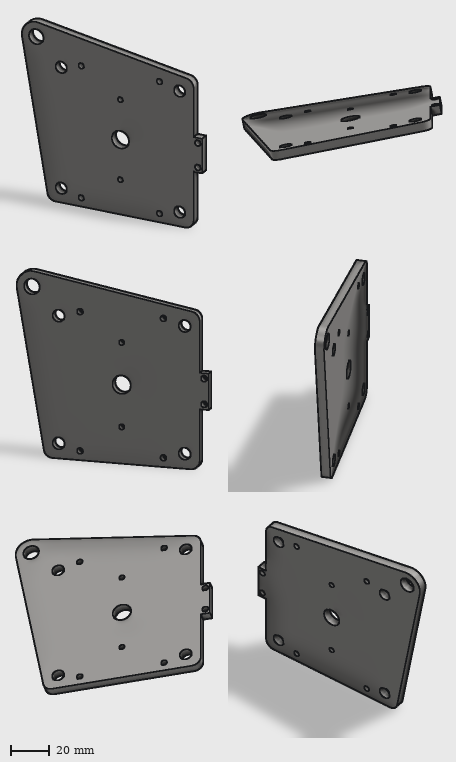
import cadquery as cq
import math

thickness = 5.0
edge = 43.0
corner_radius = 5.0
lobe_radius = 8.5
lobe_reach = 58.0

tab_end = 48.0
tab_width = 19.9
tab_hole_x = 45.5
tab_hole_z = 7.0
tab_hole_diameter = 3.3

centre_hole_diameter = 10.0
lobe_hole_diameter = 8.5
mount_hole_diameter = 6.5
mount_hole_offset = 34.8
edge_hole_diameter = 3.2
edge_hole_x = 23.0
edge_hole_z = 38.0
inner_hole_diameter = 2.9
inner_hole_z = 23.0

corner = edge - corner_radius
lobe = lobe_reach - lobe_radius


def on_circle(centre, radius, angle):
    """Point on a circle at an angle in radians."""
    return (centre[0] + radius * math.cos(angle), centre[1] + radius * math.sin(angle))


def make_plate():
    """Plate symmetric about its upper-left diagonal, with arcs tangent to straight sides."""
    lobe_centre = (-lobe, lobe)
    upper_right = (corner, corner)
    lower_right = (corner, -corner)
    lower_left = (-corner, -corner)

    run = corner + lobe
    drop = lobe - corner
    distance = math.hypot(run, drop)
    top_normal = (
        math.pi / 2
        - math.atan2(drop, run)
        - math.asin((lobe_radius - corner_radius) / distance)
    )
    left_normal = 1.5 * math.pi - top_normal
    diagonal = 0.75 * math.pi

    return (
        cq.Workplane("XZ")
        .moveTo(*on_circle(lobe_centre, lobe_radius, left_normal))
        .threePointArc(
            on_circle(lobe_centre, lobe_radius, diagonal),
            on_circle(lobe_centre, lobe_radius, top_normal),
        )
        .lineTo(*on_circle(upper_right, corner_radius, top_normal))
        .threePointArc(on_circle(upper_right, corner_radius, top_normal / 2), (edge, corner))
        .lineTo(edge, -corner)
        .threePointArc(on_circle(lower_right, corner_radius, -math.pi / 4), (corner, -edge))
        .lineTo(-corner, -edge)
        .threePointArc(
            on_circle(lower_left, corner_radius, (left_normal + 1.5 * math.pi) / 2),
            on_circle(lower_left, corner_radius, left_normal),
        )
        .close()
        .extrude(thickness)
    )


def make_tab():
    """Rectangular tab, started at the plate centre so that it merges with the plate."""
    return (
        cq.Workplane("XZ")
        .center(tab_end / 2, 0)
        .rect(tab_end, tab_width)
        .extrude(thickness)
    )


def mirrored(x, z):
    """Four points mirrored about both axes."""
    return [(sx * x, sz * z) for sx in (-1, 1) for sz in (-1, 1)]


def through_holes(points, diameter):
    return cq.Workplane("XZ").pushPoints(points).circle(diameter / 2).extrude(thickness)


hole_groups = [
    ([(0, 0)], centre_hole_diameter),
    ([(-lobe, lobe)], lobe_hole_diameter),
    (mirrored(mount_hole_offset, mount_hole_offset), mount_hole_diameter),
    (mirrored(edge_hole_x, edge_hole_z), edge_hole_diameter),
    ([(0, inner_hole_z), (0, -inner_hole_z)], inner_hole_diameter),
    ([(tab_hole_x, tab_hole_z), (tab_hole_x, -tab_hole_z)], tab_hole_diameter),
]

result = make_plate().union(make_tab())
for points, diameter in hole_groups:
    result = result.cut(through_holes(points, diameter))